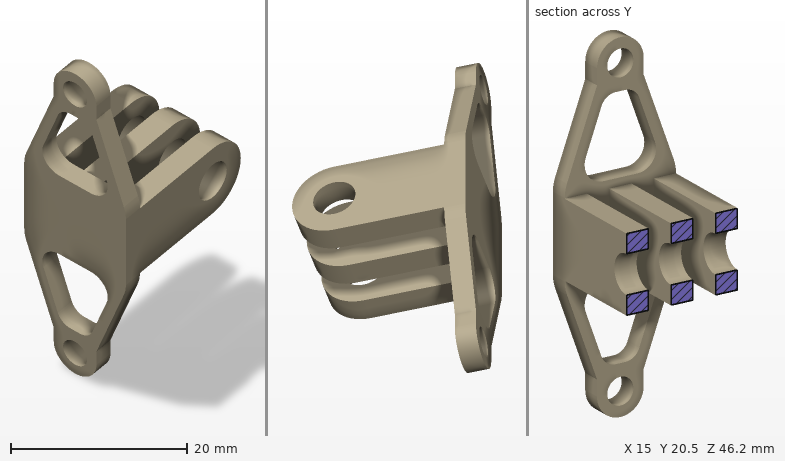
import cadquery as cq
import math

LENGTH = 46.25
WIDTH = 15.0
PLATE_THICKNESS = 2.5
EAR_RADIUS = 3.15
EAR_HOLE_RADIUS = 1.75
EAR_CENTER_Z = LENGTH / 2 - EAR_RADIUS
EAR_SIDE_END_Z = 17.9
TAPER_ANGLE = 20.0
SHOULDER_RADIUS = 5.0

WINDOW_INNER_Z = 6.05
WINDOW_OUTER_Z = 16.55
RIM_WIDTH = 1.5
WINDOW_INNER_RADIUS = 2.5
WINDOW_OUTER_RADIUS = 2.0

PRONG_COUNT = 3
PRONG_WIDTH = WIDTH / (2 * PRONG_COUNT - 1)
PRONG_RADIUS = 5.0
PRONG_REACH = 20.5
PIVOT_RADIUS = 2.5
PIVOT_Y = PRONG_REACH - PRONG_RADIUS

TAPER_SLOPE = math.tan(math.radians(TAPER_ANGLE))
RIM_OFFSET_X = RIM_WIDTH / math.cos(math.radians(TAPER_ANGLE))


def taper_x(z):
    """Half width of the tapered edge at height z, before rounding."""
    return EAR_RADIUS + (EAR_SIDE_END_Z - z) * TAPER_SLOPE


def make_plate():
    half_width = WIDTH / 2
    shoulder_z = EAR_SIDE_END_Z - (half_width - EAR_RADIUS) / TAPER_SLOPE
    plate = (
        cq.Workplane("XZ")
        .moveTo(half_width, -shoulder_z)
        .lineTo(half_width, shoulder_z)
        .lineTo(EAR_RADIUS, EAR_SIDE_END_Z)
        .lineTo(EAR_RADIUS, EAR_CENTER_Z)
        .threePointArc((0, LENGTH / 2), (-EAR_RADIUS, EAR_CENTER_Z))
        .lineTo(-EAR_RADIUS, EAR_SIDE_END_Z)
        .lineTo(-half_width, shoulder_z)
        .lineTo(-half_width, -shoulder_z)
        .lineTo(-EAR_RADIUS, -EAR_SIDE_END_Z)
        .lineTo(-EAR_RADIUS, -EAR_CENTER_Z)
        .threePointArc((0, -LENGTH / 2), (EAR_RADIUS, -EAR_CENTER_Z))
        .lineTo(EAR_RADIUS, -EAR_SIDE_END_Z)
        .close()
        .extrude(-PLATE_THICKNESS)
    )
    plate = plate.edges("|Y and (>X or <X)").fillet(SHOULDER_RADIUS)
    ear_holes = (
        cq.Workplane("XZ")
        .pushPoints([(0, EAR_CENTER_Z), (0, -EAR_CENTER_Z)])
        .circle(EAR_HOLE_RADIUS)
        .extrude(-PLATE_THICKNESS)
    )
    return plate.cut(ear_holes)


def make_window():
    """Cutter for the upper window."""
    inner_x = taper_x(WINDOW_INNER_Z) - RIM_OFFSET_X
    outer_x = taper_x(WINDOW_OUTER_Z) - RIM_OFFSET_X
    corners = [
        (-inner_x, WINDOW_INNER_Z),
        (inner_x, WINDOW_INNER_Z),
        (outer_x, WINDOW_OUTER_Z),
        (-outer_x, WINDOW_OUTER_Z),
    ]
    window = cq.Workplane("XZ").polyline(corners).close().extrude(-PLATE_THICKNESS)
    window = window.faces("<Z").edges("|Y").fillet(WINDOW_INNER_RADIUS)
    return window.faces(">Z").edges("|Y").fillet(WINDOW_OUTER_RADIUS)


def make_prong(center_x):
    return (
        cq.Workplane("YZ", origin=(center_x - PRONG_WIDTH / 2, 0, 0))
        .moveTo(0, -PRONG_RADIUS)
        .lineTo(PIVOT_Y, -PRONG_RADIUS)
        .threePointArc((PRONG_REACH, 0), (PIVOT_Y, PRONG_RADIUS))
        .lineTo(0, PRONG_RADIUS)
        .close()
        .moveTo(PIVOT_Y, 0)
        .circle(PIVOT_RADIUS)
        .extrude(PRONG_WIDTH)
    )


result = make_plate()
upper_window = make_window()
for window in (upper_window, upper_window.mirror("XY")):
    result = result.cut(window)
for index in range(PRONG_COUNT):
    offset = index - (PRONG_COUNT - 1) / 2
    result = result.union(make_prong(2 * PRONG_WIDTH * offset))